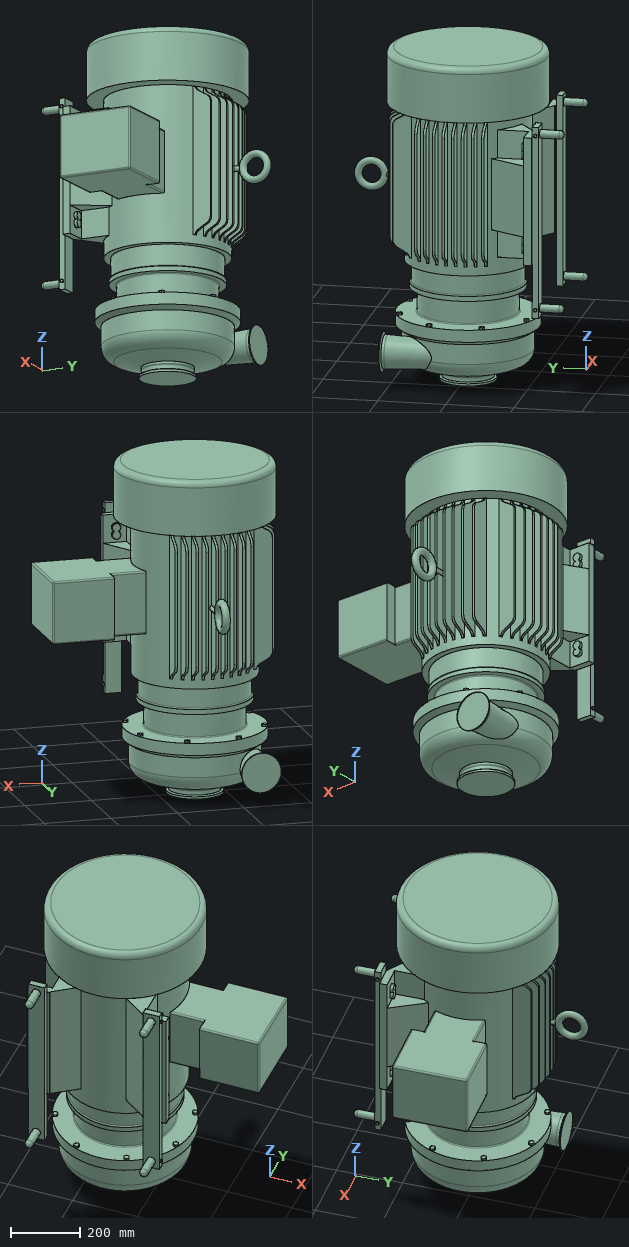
import cadquery as cq
import math


overall_height = 993.6
joint_z = 357.8

suction_ferrule_diameter = 166.88
suction_tube_diameter = 152.53
suction_weld_diameter = 154.0
suction_lip = 7.5
suction_ferrule_top = 10.5
suction_weld_foot = 22.5
suction_weld_bottom = 25.5
suction_weld_top = 32.5

bowl_radius = 192.5
bowl_corner_radius = 46.0
bowl_corner_top = 95.0
bowl_floor_slope = math.radians(12.5)
bowl_top = 154.5

flange_diameter = 422.0
flange_bottom = 166.5
flange_top = 202.5
neck_diameter = 295.0
collar_diameter = 340.0
collar_bottom = 277.5
collar_top = 292.5
adapter_diameter = 329.44
inner_corner_radius = 3.0

flange_bolt_count = 8
flange_bolt_circle_radius = 202.0
flange_bolt_sides = 6
flange_bolt_across_corners = 17.3
flange_bolt_height = 6.0

discharge_x = -134.6
discharge_z = 105.0
discharge_end_y = 226.5
discharge_ferrule_diameter = 118.92
discharge_tube_diameter = 101.73
discharge_lip = 3.0
discharge_ferrule_length = 7.0
discharge_cone_y = 210.5
discharge_cone_angle = math.radians(3.0)

frame_diameter = 370.0
frame_radius = frame_diameter / 2
cover_diameter = 470.0
cover_bottom = 828.3
cover_edge_radius = 20.0
motor_middle_z = 598.5

fin_pitch = 28.5
fin_thickness = 7.6
fin_circle_radius = 229.2
fin_middle_z = 606.3
fin_root_length = 442.6
fin_outer_length = 369.0
fin_slope = math.radians(30.0)
fin_corner_radius = 23.0
fin_root_margin = 20.0
back_fin_steps = range(-4, 5)
side_fin_steps = range(-3, 5)

eye_outer_radius = 50.8
eye_bar_radius = 11.9
eye_top_y = 334.77
eye_shank_diameter = 18.6

box_end_x = 459.7
box_start_x = 275.0
box_width = 228.6
box_height = 188.0
box_neck_width = 152.4
box_edge_radius = 5.0

foot_length = 381.0
foot_bottom_y = -228.6
foot_top_y = -205.5
foot_outer_x = 215.9
foot_inner_x = 144.5
foot_slope_start_y = -225.0
foot_slope_end_x = 69.5
gusset_length = 212.5
gusset_end_y = -100.0
foot_bolt_x = 177.8
foot_bolt_diameter = 25.4
foot_bolt_height = 10.0
foot_bolt_offsets = (130.4, 152.4)

rail_x = foot_bolt_x
rail_width = 50.8
rail_thickness = 19.05
rail_pin_spacing = 520.7
rail_end_margin = 25.4
rail_bottom = 247.2
rail_pin_diameter = 25.4
rail_pin_end_y = -317.5
rail_screw_diameter = 10.0
rail_screw_height = 4.0


def circle_depth(radius, offset):
    """Distance from the axis to a circle of this radius, measured on a line at this offset."""
    return math.sqrt(radius**2 - offset**2)


def disc(diameter, bottom, top):
    """Cylinder about the shaft axis between two levels."""
    return cq.Workplane("XY").workplane(offset=bottom).circle(diameter / 2).extrude(top - bottom)


def y_cylinder(diameter, x, z, y_start, y_end):
    """Cylinder parallel to Y between two Y positions."""
    direction = cq.Vector(0, math.copysign(1, y_end - y_start), 0)
    solid = cq.Solid.makeCylinder(diameter / 2, abs(y_end - y_start), cq.Vector(x, y_start, z), direction)
    return cq.Workplane(obj=solid)


class RingSelector(cq.Selector):
    """Picks the circular edge about the shaft axis with this diameter at this level."""

    def __init__(self, diameter, level):
        self.radius = diameter / 2
        self.level = level

    def filter(self, edges):
        tolerance = 0.01
        circles = [edge for edge in edges if edge.geomType() == "CIRCLE"]
        return [
            edge
            for edge in circles
            if abs(edge.radius() - self.radius) < tolerance
            and abs(edge.arcCenter().z - self.level) < tolerance
        ]


def casing():
    """Suction ferrule, bowl, bolting flange, neck, collar and motor adapter turned as one profile."""
    tube_r = suction_tube_diameter / 2
    weld_r = suction_weld_diameter / 2
    ferrule_r = suction_ferrule_diameter / 2
    corner_centre_r = bowl_radius - bowl_corner_radius
    sweep_end = math.pi / 2 - bowl_floor_slope

    def corner_point(angle):
        return (
            corner_centre_r + bowl_corner_radius * math.cos(angle),
            bowl_corner_top - bowl_corner_radius * math.sin(angle),
        )

    turned = (
        cq.Workplane("XZ")
        .moveTo(0, 0)
        .lineTo(ferrule_r, 0)
        .lineTo(ferrule_r, suction_lip)
        .lineTo(tube_r, suction_ferrule_top)
        .lineTo(tube_r, suction_weld_foot)
        .lineTo(weld_r, suction_weld_bottom)
        .lineTo(weld_r, suction_weld_top)
        .lineTo(*corner_point(sweep_end))
        .threePointArc(corner_point(sweep_end / 2), corner_point(0))
        .lineTo(bowl_radius, bowl_top)
        .lineTo(flange_diameter / 2, flange_bottom)
        .lineTo(flange_diameter / 2, flange_top)
        .lineTo(neck_diameter / 2, flange_top)
        .lineTo(neck_diameter / 2, collar_bottom)
        .lineTo(collar_diameter / 2, collar_bottom)
        .lineTo(collar_diameter / 2, collar_top)
        .lineTo(adapter_diameter / 2, collar_top)
        .lineTo(adapter_diameter / 2, joint_z)
        .lineTo(0, joint_z)
        .close()
        .revolve(360, (0, 0, 0), (0, 1, 0))
    )
    inner_corners = [
        (neck_diameter, flange_top),
        (neck_diameter, collar_bottom),
        (adapter_diameter, collar_top),
    ]
    for diameter, level in inner_corners:
        corner = RingSelector(diameter, level)
        turned = turned.edges(corner).fillet(inner_corner_radius)
    return turned


def discharge():
    """Tangential outlet along +Y: ferrule, short tube and a taper that narrows into the bowl."""
    tube_r = discharge_tube_diameter / 2
    ferrule_r = discharge_ferrule_diameter / 2
    taper_end_r = tube_r - discharge_cone_y * math.tan(discharge_cone_angle)
    return (
        cq.Workplane("XY")
        .moveTo(0, 0)
        .lineTo(taper_end_r, 0)
        .lineTo(tube_r, discharge_cone_y)
        .lineTo(tube_r, discharge_end_y - discharge_ferrule_length)
        .lineTo(ferrule_r, discharge_end_y - discharge_lip)
        .lineTo(ferrule_r, discharge_end_y)
        .lineTo(0, discharge_end_y)
        .close()
        .revolve(360, (0, 0, 0), (0, 1, 0))
        .translate((discharge_x, 0, discharge_z))
    )


def flange_bolts():
    """Ring of hexagon bolt heads standing on the flange, each with a corner pointing outward."""
    half_step = 180 / flange_bolt_count
    return (
        cq.Workplane("XY")
        .workplane(offset=flange_top)
        .polarArray(flange_bolt_circle_radius, half_step, 360, flange_bolt_count)
        .polygon(flange_bolt_sides, flange_bolt_across_corners)
        .extrude(flange_bolt_height)
    )


def make_pump():
    return casing().union(discharge()).union(flange_bolts()).solids()


def motor_core():
    """Cylindrical frame and round-edged fan cover."""
    cover = disc(cover_diameter, cover_bottom, overall_height).faces(">Z").edges().fillet(cover_edge_radius)
    return disc(frame_diameter, joint_z, cover_bottom).union(cover)


def fin(offset):
    """Cooling fin pointing to +Y at this X, sloped at both ends and blended into the frame."""
    outer = circle_depth(fin_circle_radius, offset)
    root = circle_depth(frame_radius, max(abs(offset) - fin_thickness / 2, 0))
    half_outer = fin_outer_length / 2
    half_root = half_outer + (outer - root) * math.tan(fin_slope)
    half_base = half_root + fin_root_margin
    half_profile = [(root, half_base), (root, half_root), (outer, half_outer)]
    points = [(root - fin_root_margin, half_base)] + half_profile
    points += [(depth, -height) for depth, height in reversed(points)]
    blank = cq.Workplane("YZ").polyline(points).close().extrude(fin_thickness / 2, both=True)
    clearance = 1.0
    blends = cq.selectors.BoxSelector(
        (-fin_thickness, root - clearance, -half_root - clearance),
        (fin_thickness, outer + clearance, half_root + clearance),
    )
    rounded = blank.edges("|X").edges(blends).fillet(fin_corner_radius)
    trim = cq.Workplane("XY").box(2 * fin_circle_radius, 2 * fin_circle_radius, fin_root_length)
    return rounded.intersect(trim).translate((offset, 0, fin_middle_z))


def fins():
    """Fins on the back (+Y) and on the left side (-X) of the frame."""
    back = [fin(step * fin_pitch) for step in back_fin_steps]
    side = [fin(step * fin_pitch).rotate((0, 0, 0), (0, 0, 1), 90) for step in side_fin_steps]
    return back + side


def eyebolt():
    """Lifting ring in the YZ plane with its shank reaching down to the frame."""
    centre_y = eye_top_y - eye_outer_radius
    ring_radius = eye_outer_radius - eye_bar_radius
    ring = cq.Solid.makeTorus(
        ring_radius, eye_bar_radius, cq.Vector(0, centre_y, motor_middle_z), cq.Vector(1, 0, 0)
    )
    shank_start = frame_radius - eye_shank_diameter
    shank = y_cylinder(eye_shank_diameter, 0, motor_middle_z, shank_start, centre_y - ring_radius)
    return shank.union(cq.Workplane(obj=ring))


def terminal_box():
    """Round-edged box on the +X side, carried by a narrower neck of the same height."""
    box_length = box_end_x - box_start_x
    box = (
        cq.Workplane("XY")
        .box(box_length, box_width, box_height)
        .edges("|X or >X")
        .fillet(box_edge_radius)
        .translate((box_start_x + box_length / 2, 0, motor_middle_z))
    )
    neck = (
        cq.Workplane("XY")
        .box(box_start_x, box_neck_width, box_height)
        .edges("|X")
        .fillet(box_edge_radius)
        .translate((box_start_x / 2, 0, motor_middle_z))
    )
    return box.union(neck)


def centred_prism(points, length):
    """Prism along Z, centred on the middle of the motor."""
    return (
        cq.Workplane("XY")
        .workplane(offset=motor_middle_z - length / 2)
        .polyline(points)
        .close()
        .extrude(length)
    )


def foot():
    """Right-hand foot: base plate with inner web, central gusset and mounting bolt ends."""
    web_top_y = -circle_depth(frame_radius, foot_inner_x)
    slope_end_y = -circle_depth(frame_radius, foot_slope_end_x)
    plate_and_web = centred_prism(
        [
            (foot_outer_x, foot_bottom_y),
            (foot_inner_x, foot_bottom_y),
            (foot_inner_x, foot_slope_start_y),
            (foot_slope_end_x, slope_end_y),
            (foot_slope_end_x, web_top_y),
            (foot_inner_x, web_top_y),
            (foot_inner_x, foot_top_y),
            (foot_outer_x, foot_top_y),
        ],
        foot_length,
    )
    gusset_end_x = circle_depth(frame_radius, gusset_end_y)
    gusset = centred_prism(
        [
            (foot_outer_x, foot_top_y),
            (foot_inner_x, foot_top_y),
            (foot_inner_x, gusset_end_y),
            (gusset_end_x, gusset_end_y),
        ],
        gusset_length,
    )
    body = plate_and_web.union(gusset)
    for side in (-1, 1):
        for offset in foot_bolt_offsets:
            z = motor_middle_z + side * offset
            body = body.union(
                y_cylinder(foot_bolt_diameter, foot_bolt_x, z, foot_bottom_y, foot_top_y + foot_bolt_height)
            )
    return body


def rail():
    """Right-hand mounting rail under the foot, with two round-nosed pins and two side screws."""
    height = rail_pin_spacing + 2 * rail_end_margin
    rail_face_y = foot_bottom_y - rail_thickness
    outer_x = rail_x + rail_width / 2
    middle_y = foot_bottom_y - rail_thickness / 2
    body = cq.Workplane("XY").box(rail_width, rail_thickness, height)
    body = body.translate((rail_x, middle_y, rail_bottom + height / 2))
    pin_radius = rail_pin_diameter / 2
    for z in (rail_bottom + rail_end_margin, rail_bottom + rail_end_margin + rail_pin_spacing):
        nose_y = rail_pin_end_y + pin_radius
        pin = y_cylinder(rail_pin_diameter, rail_x, z, rail_face_y, nose_y)
        nose = cq.Workplane("XY").sphere(pin_radius).translate((rail_x, nose_y, z))
        screw = (
            cq.Workplane("YZ", origin=(outer_x, middle_y, z))
            .circle(rail_screw_diameter / 2)
            .extrude(rail_screw_height)
        )
        body = body.union(pin).union(nose).union(screw)
    return body


def make_motor():
    body = motor_core()
    for blade in fins():
        body = body.union(blade)
    body = body.union(eyebolt()).union(terminal_box())
    support = foot().union(rail())
    return body.union(support).union(support.mirror("YZ")).solids()


pump = make_pump()
motor = make_motor()

result = cq.Compound.makeCompound([pump.val(), motor.val()])